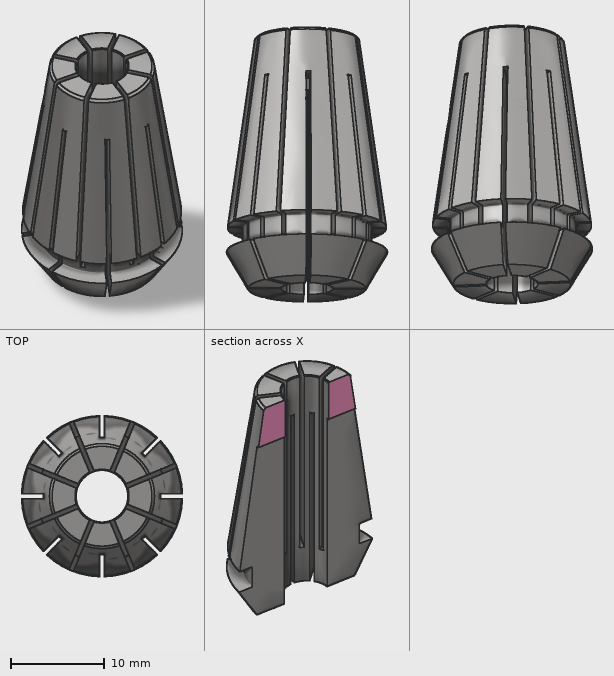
import cadquery as cq
import math

total_height = 27.5
bore_diameter = 5.55
flange_diameter = 17.25
flange_height = 4.0
flange_half_angle = 30.0
groove_diameter = 13.83
groove_top = 6.68
groove_fillet = 0.2
cone_base_diameter = 17.02
cone_half_angle = 8.0
nose_chamfer = 0.28
bore_chamfer = 0.1
flange_chamfer = 0.1

slot_width = 0.5
slots_per_end = 8
blade_length = 2 * flange_diameter
lower_slot_top = 22.5
upper_slot_floor = 4.5

flange_radius = flange_diameter / 2
groove_radius = groove_diameter / 2
cone_base_radius = cone_base_diameter / 2
slot_pitch = 360.0 / slots_per_end


def cone_radius(height):
    """Radius of the long outer cone at a given height."""
    return cone_base_radius - (height - groove_top) * math.tan(math.radians(cone_half_angle))


def turned_body():
    """Revolved profile: chamfered flange, extraction groove, long cone with chamfered nose, and bore."""
    bore_radius = bore_diameter / 2
    flange_slant_height = flange_height - flange_chamfer
    chamfer_end_radius = flange_radius - flange_slant_height * math.tan(math.radians(flange_half_angle))
    chamfer_start = total_height - nose_chamfer
    fillet_reach = groove_fillet * (1 - math.sqrt(0.5))
    profile = (
        cq.Workplane("XZ")
        .moveTo(bore_radius, 0)
        .lineTo(chamfer_end_radius - flange_chamfer, 0)
        .lineTo(chamfer_end_radius, flange_chamfer)
        .lineTo(flange_radius, flange_height)
        .lineTo(groove_radius + groove_fillet, flange_height)
        .threePointArc(
            (groove_radius + fillet_reach, flange_height + fillet_reach),
            (groove_radius, flange_height + groove_fillet),
        )
        .lineTo(groove_radius, groove_top - groove_fillet)
        .threePointArc(
            (groove_radius + fillet_reach, groove_top - fillet_reach),
            (groove_radius + groove_fillet, groove_top),
        )
        .lineTo(cone_base_radius, groove_top)
        .lineTo(cone_radius(chamfer_start), chamfer_start)
        .lineTo(cone_radius(chamfer_start) - nose_chamfer, total_height)
        .lineTo(bore_radius + bore_chamfer, total_height)
        .lineTo(bore_radius, total_height - bore_chamfer)
        .close()
    )
    return profile.revolve(360, (0, 0, 0), (0, 1, 0))


def slot_ring(bottom, top, first_angle):
    """Radial slot cutters, each pair of opposite slots made by one blade across the axis."""
    profile = cq.Workplane("XY").workplane(offset=bottom).rect(blade_length, slot_width)
    blade = profile.extrude(top - bottom)
    ring = blade.rotate((0, 0, 0), (0, 0, 1), first_angle)
    for index in range(1, slots_per_end // 2):
        angle = first_angle + index * slot_pitch
        ring = ring.union(blade.rotate((0, 0, 0), (0, 0, 1), angle))
    return ring


lower_slots = slot_ring(0, lower_slot_top, 0)
upper_slots = slot_ring(upper_slot_floor, total_height, slot_pitch / 2)
result = turned_body().cut(lower_slots).cut(upper_slots)